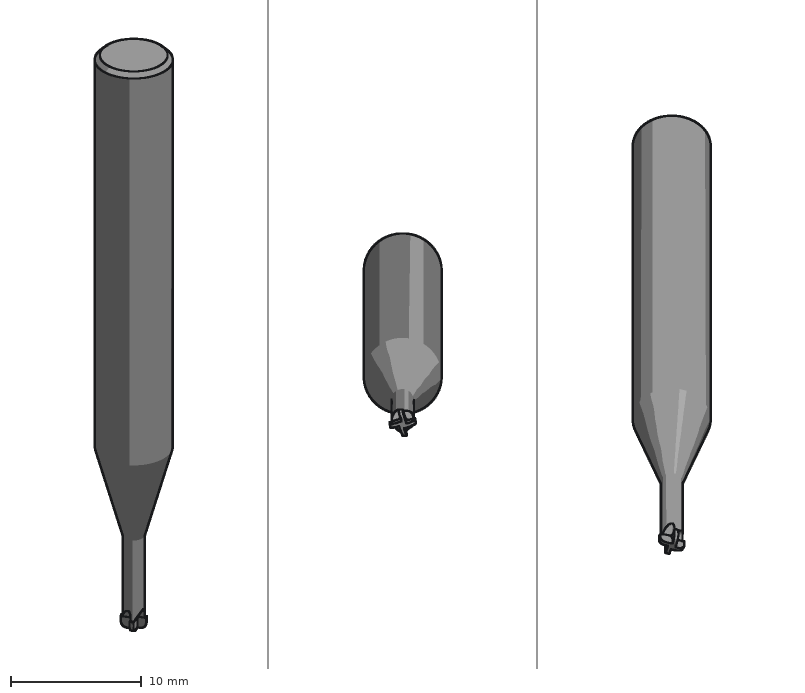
import cadquery as cq

total_length = 50.0
shank_radius = 3.0
shank_chamfer = 0.4

neck_radius = 0.85
neck_end_z = 8.0
cone_end_z = 15.75

head_radius = 1.0
head_height = 0.95
corner_radius = 0.5

flute_count = 4
core_offset = 0.3
runout_start_z = head_height
flute_top_z = 1.85
flute_root_radius = 0.25
cutter_margin = 0.5


def make_shank_blank():
    """Turned neck, cone and chamfered shank, resting on top of the head."""
    profile = (
        cq.Workplane("XZ")
        .moveTo(0, head_height)
        .lineTo(neck_radius, head_height)
        .lineTo(neck_radius, neck_end_z)
        .lineTo(shank_radius, cone_end_z)
        .lineTo(shank_radius, total_length)
        .lineTo(0, total_length)
        .close()
    )
    return profile.revolve().faces(">Z").edges().chamfer(shank_chamfer)


def make_head_blank():
    """Turned head disc with a rounded lower corner."""
    disc = cq.Workplane("XY").circle(head_radius).extrude(head_height)
    return disc.faces("<Z").edges().fillet(corner_radius)


def make_flute_cutter(index):
    """Material removed by one flute, turned to its place around the axis."""
    reach = head_radius + cutter_margin
    runout_slope = (flute_top_z - runout_start_z) / (neck_radius - core_offset)
    reach_z = runout_start_z + runout_slope * (reach - core_offset)
    cutter = (
        cq.Workplane("YZ")
        .moveTo(-core_offset, -cutter_margin)
        .lineTo(-core_offset, runout_start_z)
        .lineTo(-reach, reach_z)
        .lineTo(-reach, -cutter_margin)
        .close()
        .extrude(-reach)
    )
    runout_middle = (0, -(core_offset + reach) / 2, (runout_start_z + reach_z) / 2)
    runout_edge = cq.selectors.NearestToPointSelector(runout_middle)
    cutter = cutter.faces(">X").edges(runout_edge).fillet(flute_root_radius)
    return cutter.rotate((0, 0, 0), (0, 0, 1), index * 360 / flute_count)


shank = make_shank_blank()
head = make_head_blank()
for flute_index in range(flute_count):
    flute_cutter = make_flute_cutter(flute_index)
    shank = shank.cut(flute_cutter)
    head = head.cut(flute_cutter)

result = cq.Compound.makeCompound([shank.val(), head.val()])